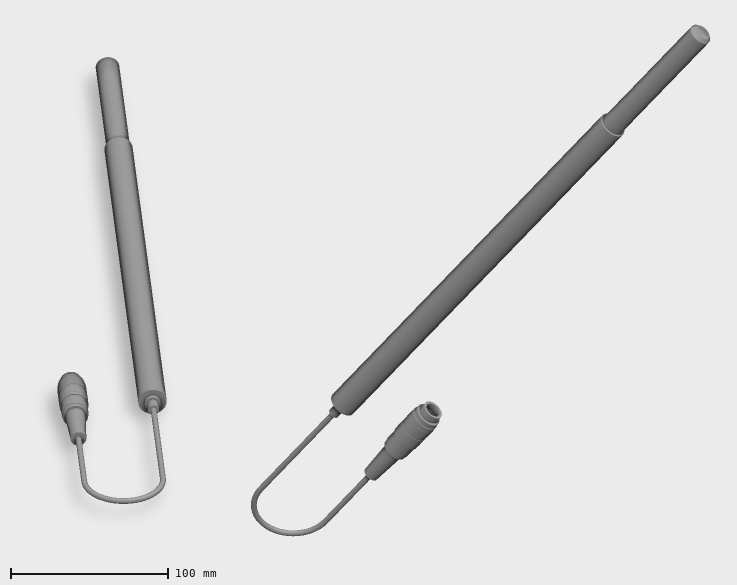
import cadquery as cq
TILT = 13.13

ROD_D = 15.0
TIP_CHAMFER = 2.0

HANDLE_D = 18.0
HANDLE_START = 100.0
HANDLE_END = 401.0
SOCKET_DEPTH = 30.0
SCREW_HOLE_D = 2.25
SCREW_HOLE_INSETS = (5.0, 25.0)

GLAND_HEAD_D = 10.0
GLAND_HEAD_LENGTH = 3.0
GLAND_NECK_D = 7.0
GLAND_NECK_LENGTH = 7.0

CABLE_D = 3.7
BEND_R = 25.0
BEND_START = 492.0

PLUG_Y = -2 * BEND_R
NOSE_START = 372.0
NOSE_D = 13.5
SHELL_START = 377.0
SHELL_D = 17.0
GRIP_START = 380.5
GRIP_END = 402.5
GRIP_D = 18.5
GRIP_RIM_WIDTH = 3.0
GRIP_RIM_STEP = 0.1
GROOVE_D = 18.0
GROOVE_WIDTH = 3.0
COLLAR_START = 412.0
COLLAR_END = 415.0
COLLAR_D = 16.0
BOOT_END = 441.5
BOOT_FRONT_D = 13.0
BOOT_BACK_D = 10.0

NOSE_BORE_D = 10.0
NOSE_BORE_DEPTH = 5.0
CONTACT_D = 1.7
CONTACT_CIRCLE_D = 6.0
CONTACT_COUNT = 5
CONTACT_DEPTH = 3.0

MARK_D = 1.5
MARK_DEPTH = 0.5
MARK_INSET = 1.5

front_socket_end = HANDLE_START + SOCKET_DEPTH
back_socket_start = HANDLE_END - SOCKET_DEPTH
head_end = HANDLE_END + GLAND_HEAD_LENGTH
gland_end = head_end + GLAND_NECK_LENGTH


def cylinder(start, end, diameter, y=0.0):
    """Cylinder along X from start to end."""
    return cq.Workplane("YZ", origin=(start, y, 0)).circle(diameter / 2).extrude(end - start)


def make_rod():
    return cylinder(0, front_socket_end, ROD_D).faces("<X").chamfer(TIP_CHAMFER)


def make_handle():
    handle = cylinder(HANDLE_START, HANDLE_END, HANDLE_D)
    handle = handle.cut(cylinder(HANDLE_START, front_socket_end, ROD_D))
    handle = handle.cut(cylinder(back_socket_start, HANDLE_END, ROD_D))
    for inset in SCREW_HOLE_INSETS:
        for x in (HANDLE_START + inset, HANDLE_END - inset):
            hole = cq.Workplane("XZ", origin=(x, 0, 0)).circle(SCREW_HOLE_D / 2).extrude(HANDLE_D)
            handle = handle.cut(hole)
    return handle


def make_gland():
    gland = cylinder(back_socket_start, HANDLE_END, ROD_D)
    gland = gland.union(cylinder(HANDLE_END, head_end, GLAND_HEAD_D))
    return gland.union(cylinder(head_end, gland_end, GLAND_NECK_D))


def make_cable():
    path = (
        cq.Workplane("XY")
        .moveTo(gland_end, 0)
        .lineTo(BEND_START, 0)
        .threePointArc((BEND_START + BEND_R, -BEND_R), (BEND_START, PLUG_Y))
        .lineTo(BOOT_END, PLUG_Y)
    )
    return cq.Workplane("YZ", origin=(gland_end, 0, 0)).circle(CABLE_D / 2).sweep(path)


def make_plug_outline():
    """Turned outer shape of the plug and its boot, without the contact end."""
    rim_d = GRIP_D - 2 * GRIP_RIM_STEP
    groove_start = (GRIP_START + GRIP_END - GROOVE_WIDTH) / 2
    groove_end = groove_start + GROOVE_WIDTH
    outline = [
        (NOSE_START, NOSE_D),
        (SHELL_START, NOSE_D),
        (SHELL_START, SHELL_D),
        (GRIP_START, SHELL_D),
        (GRIP_START, rim_d),
        (GRIP_START + GRIP_RIM_WIDTH, rim_d),
        (GRIP_START + GRIP_RIM_WIDTH, GRIP_D),
        (groove_start, GRIP_D),
        (groove_start, GROOVE_D),
        (groove_end, GROOVE_D),
        (groove_end, GRIP_D),
        (GRIP_END - GRIP_RIM_WIDTH, GRIP_D),
        (GRIP_END - GRIP_RIM_WIDTH, rim_d),
        (GRIP_END, rim_d),
        (GRIP_END, SHELL_D),
        (COLLAR_START, SHELL_D),
        (COLLAR_START, COLLAR_D),
        (COLLAR_END, COLLAR_D),
        (COLLAR_END, BOOT_FRONT_D),
        (BOOT_END, BOOT_BACK_D),
    ]
    points = [(x, PLUG_Y + diameter / 2) for x, diameter in outline]
    return (
        cq.Workplane("XY")
        .polyline([(NOSE_START, PLUG_Y)] + points + [(BOOT_END, PLUG_Y)])
        .close()
        .revolve(360, (NOSE_START, PLUG_Y, 0), (BOOT_END, PLUG_Y, 0))
    )


def make_plug():
    plug = make_plug_outline()
    face = NOSE_START + NOSE_BORE_DEPTH
    plug = plug.cut(cylinder(NOSE_START, face, NOSE_BORE_D, PLUG_Y))
    contacts = (
        cq.Workplane("YZ", origin=(face, PLUG_Y, 0))
        .polarArray(CONTACT_CIRCLE_D / 2, 0, 360, CONTACT_COUNT)
        .circle(CONTACT_D / 2)
        .extrude(CONTACT_DEPTH)
    )
    mark = (
        cq.Workplane("XZ", origin=(SHELL_START - MARK_INSET, PLUG_Y - NOSE_D / 2 + MARK_DEPTH, 0))
        .circle(MARK_D / 2)
        .extrude(NOSE_D)
    )
    return plug.cut(contacts).cut(mark)


bodies = [make_rod(), make_handle(), make_gland(), make_cable(), make_plug()]
result = cq.Compound.makeCompound(
    [body.rotate((0, 0, 0), (0, 0, 1), -TILT).val() for body in bodies]
)